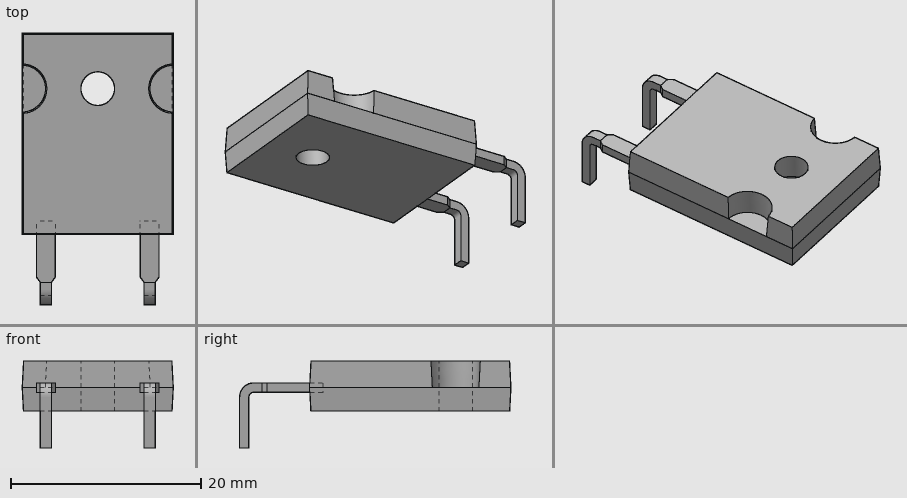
import cadquery as cq
import math


overall_length = 28.55
overall_height = 9.2

housing_width = 15.9
housing_length = 21.18
upper_height = 2.8
lower_height = 2.48
draft_angle = 3.0

housing_back = overall_length / 2
housing_front = housing_back - housing_length
housing_center_y = (housing_back + housing_front) / 2

hole_diameter = 3.5
hole_from_back = 5.82
notch_top_radius = 2.6
hole_y = housing_back - hole_from_back
notch_floor_radius = notch_top_radius - upper_height * math.tan(math.radians(draft_angle))

lead_spacing = 10.9
lead_thickness = 1.0
blade_width = 2.0
pin_width = 1.2
blade_straight = 4.45
blade_taper = 0.55
blade_insertion = 1.43
inner_bend_radius = 0.5
outer_bend_radius = inner_bend_radius + lead_thickness

lead_top = 0.49
lead_bottom = lead_top - lead_thickness
lead_positions = [-lead_spacing / 2, lead_spacing / 2]
blade_back = housing_front + blade_insertion
taper_start = housing_front - blade_straight
blade_front = taper_start - blade_taper
pin_front = -overall_length / 2
pin_foot = upper_height - overall_height


def make_blade(x):
    """Wide, flat part of a lead, tapering to the pin width at its front end."""
    half_blade = blade_width / 2
    half_pin = pin_width / 2
    return (
        cq.Workplane("XY", origin=(x, 0, lead_bottom))
        .moveTo(-half_blade, blade_back)
        .lineTo(half_blade, blade_back)
        .lineTo(half_blade, taper_start)
        .lineTo(half_pin, blade_front)
        .lineTo(-half_pin, blade_front)
        .lineTo(-half_blade, taper_start)
        .close()
        .extrude(lead_thickness)
    )


def make_pin(x):
    """Narrow part of a lead, bent straight down."""
    bend_y = pin_front + outer_bend_radius
    bend_z = lead_top - outer_bend_radius
    return (
        cq.Workplane("YZ", origin=(x, 0, 0))
        .moveTo(blade_front, lead_top)
        .lineTo(bend_y, lead_top)
        .radiusArc((pin_front, bend_z), -outer_bend_radius)
        .lineTo(pin_front, pin_foot)
        .lineTo(pin_front + lead_thickness, pin_foot)
        .lineTo(pin_front + lead_thickness, bend_z)
        .radiusArc((bend_y, lead_bottom), inner_bend_radius)
        .lineTo(blade_front, lead_bottom)
        .close()
        .extrude(pin_width / 2, both=True)
    )


def make_housing_half(height):
    """Drafted block with its wide face on the parting plane; a negative height goes down."""
    block = (
        cq.Workplane("XY")
        .center(0, housing_center_y)
        .rect(housing_width, housing_length)
        .extrude(height, taper=draft_angle)
    )
    hole = cq.Workplane("XY").center(0, hole_y).circle(hole_diameter / 2).extrude(height)
    half = block.cut(hole)
    for blade in blades:
        half = half.cut(blade)
    return half


def make_notch(x):
    """Tapered round cutter for the finger notch in one side of the upper half."""
    return (
        cq.Workplane("XY", origin=(x, hole_y, 0))
        .circle(notch_floor_radius)
        .workplane(offset=upper_height)
        .circle(notch_top_radius)
        .loft()
    )


blades = [make_blade(x) for x in lead_positions]
pins = [make_pin(x) for x in lead_positions]

lower_housing = make_housing_half(-lower_height)
upper_housing = make_housing_half(upper_height)
for notch_x in (-housing_width / 2, housing_width / 2):
    upper_housing = upper_housing.cut(make_notch(notch_x))

result = cq.Compound.makeCompound(
    [
        upper_housing.solids().val(),
        lower_housing.solids().val(),
        *[blade.val() for blade in blades],
        *[pin.val() for pin in pins],
    ]
)